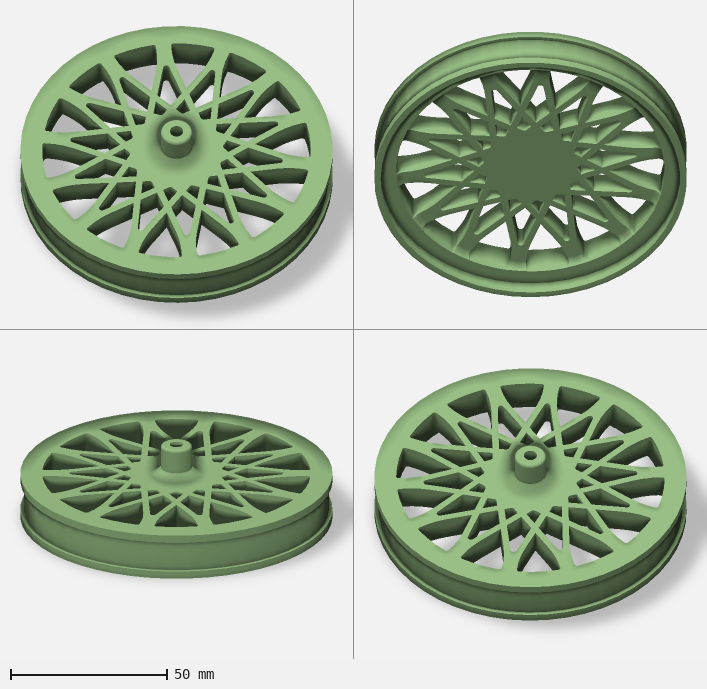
import cadquery as cq
import math

outer_radius = 50.0
wheel_height = 15.0
flange_thickness = 2.5
groove_depth = 1.2

web_thickness = 8.0
cavity_radius = 42.9
cavity_fillet = 2.0
recess_radius = 48.0
recess_depth = 4.5

spoke_count = 14
bar_offset = 10.86
bar_width = 2.1
bar_slope = 28.2
window_radius = 43.0
flank_radius = 28.5
flank_start = 32.5
rim_corner_fillet = 0.8
lattice_fillet = 1.0

boss_radius = 5.0
boss_height = 10.0
boss_top_fillet = 0.9
boss_flare = 2.15
flare_fillet = 3.5
hole_diameter = 4.2
hole_depth = 10.0

spoke_pitch = 360.0 / spoke_count
half_pitch = spoke_pitch / 2
outer_edge_offset = bar_offset + bar_width / 2
inner_edge_offset = bar_offset - bar_width / 2
web_bottom = wheel_height - web_thickness
total_height = wheel_height + boss_height


def make_body():
    """Flanged rim and solid web, hollowed from below."""
    groove_height = wheel_height - 2 * flange_thickness
    groove_radius = outer_radius - groove_depth
    body = cq.Workplane("XY").circle(outer_radius).extrude(wheel_height)
    groove = (
        cq.Workplane("XY", origin=(0, 0, flange_thickness))
        .circle(outer_radius)
        .circle(groove_radius)
        .extrude(groove_height)
    )
    cavity = (
        cq.Workplane("XY")
        .circle(cavity_radius)
        .extrude(web_bottom)
        .faces(">Z")
        .edges()
        .fillet(cavity_fillet)
    )
    recess = cq.Workplane("XY").circle(recess_radius).extrude(recess_depth)
    return body.cut(groove).cut(cavity).cut(recess)


def add_boss(body):
    """Round boss with a flared, filleted foot, a rounded top and a blind hole."""
    flare_radius = boss_radius + boss_flare
    blend_angle = math.radians(45)
    blend_length = flare_fillet * math.tan(blend_angle / 2)
    blend_rise = blend_length * math.sin(blend_angle)
    blend_outer = flare_radius + blend_length
    blend_middle = (
        blend_outer - flare_fillet * math.sin(blend_angle / 2),
        wheel_height + flare_fillet * (1 - math.cos(blend_angle / 2)),
    )
    top_fillet_middle = (
        boss_radius - boss_top_fillet * (1 - math.cos(blend_angle)),
        total_height - boss_top_fillet * (1 - math.sin(blend_angle)),
    )
    boss = (
        cq.Workplane("XZ")
        .moveTo(0, web_bottom)
        .lineTo(blend_outer, web_bottom)
        .lineTo(blend_outer, wheel_height)
        .threePointArc(blend_middle, (flare_radius - blend_rise, wheel_height + blend_rise))
        .lineTo(boss_radius, wheel_height + boss_flare)
        .lineTo(boss_radius, total_height - boss_top_fillet)
        .threePointArc(top_fillet_middle, (boss_radius - boss_top_fillet, total_height))
        .lineTo(0, total_height)
        .close()
        .revolve(360, (0, 0), (0, 1))
    )
    hole = (
        cq.Workplane("XY", origin=(0, 0, total_height - hole_depth))
        .circle(hole_diameter / 2)
        .extrude(hole_depth)
    )
    return body.union(boss).cut(hole)


def axis_crossing(offset, slope):
    """Distance from the wheel axis at which a bar edge crosses a radius it makes an angle with."""
    return offset / math.sin(math.radians(slope))


def large_window():
    """Window along +X from the crossing of two bars out to the rim, with blended flanks."""
    slope = math.radians(bar_slope)
    apex_x = axis_crossing(outer_edge_offset, bar_slope)
    flank_y = (flank_start - apex_x) * math.tan(slope)
    centre_x = flank_start + flank_radius * math.sin(slope)
    centre_y = flank_y - flank_radius * math.cos(slope)

    centre_distance = math.hypot(centre_x, centre_y)
    centre_angle = math.atan2(centre_y, centre_x)
    reach = (window_radius**2 + centre_distance**2 - flank_radius**2) / (
        2 * window_radius * centre_distance
    )
    rim_angle = centre_angle + math.acos(reach)
    rim_x = window_radius * math.cos(rim_angle)
    rim_y = window_radius * math.sin(rim_angle)

    start_angle = math.pi / 2 + slope
    end_angle = math.atan2(rim_y - centre_y, rim_x - centre_x)
    middle_angle = (start_angle + end_angle) / 2
    middle_x = centre_x + flank_radius * math.cos(middle_angle)
    middle_y = centre_y + flank_radius * math.sin(middle_angle)
    window = (
        cq.Workplane("XY")
        .moveTo(apex_x, 0)
        .lineTo(flank_start, flank_y)
        .threePointArc((middle_x, middle_y), (rim_x, rim_y))
        .threePointArc((window_radius, 0), (rim_x, -rim_y))
        .threePointArc((middle_x, -middle_y), (flank_start, -flank_y))
        .close()
        .extrude(wheel_height)
    )
    rim_corners = cq.selectors.BoxSelector(
        (rim_x - 1, -outer_radius, 0), (rim_x + 1, outer_radius, wheel_height)
    )
    return window.edges("|Z").edges(rim_corners).fillet(rim_corner_fillet)


def kite_window(outer_slope, rounded_end):
    """Four-sided window along +X; its inner pair of bars is one spoke pitch steeper."""
    inner_slope = outer_slope + spoke_pitch
    outer_x = axis_crossing(inner_edge_offset, outer_slope)
    inner_x = axis_crossing(outer_edge_offset, inner_slope)
    outer_rise = math.tan(math.radians(outer_slope))
    inner_rise = math.tan(math.radians(inner_slope))
    side_x = (outer_x * outer_rise + inner_x * inner_rise) / (outer_rise + inner_rise)
    side_y = (outer_x - side_x) * outer_rise
    window = (
        cq.Workplane("XY")
        .polyline([(outer_x, 0), (side_x, side_y), (inner_x, 0), (side_x, -side_y)])
        .close()
        .extrude(wheel_height)
    )
    return window.edges("|Z").edges(rounded_end).fillet(lattice_fillet)


def cut_around(body, window, first_angle):
    """Cut one copy of the window per spoke, starting at the given angle."""
    for index in range(spoke_count):
        angle = first_angle + index * spoke_pitch
        body = body.cut(window.rotate((0, 0, 0), (0, 0, 1), angle))
    return body


result = add_boss(make_body())
result = cut_around(result, large_window(), half_pitch)
result = cut_around(result, kite_window(bar_slope - half_pitch, ">X"), 0)
result = cut_around(result, kite_window(bar_slope, "<X"), half_pitch)